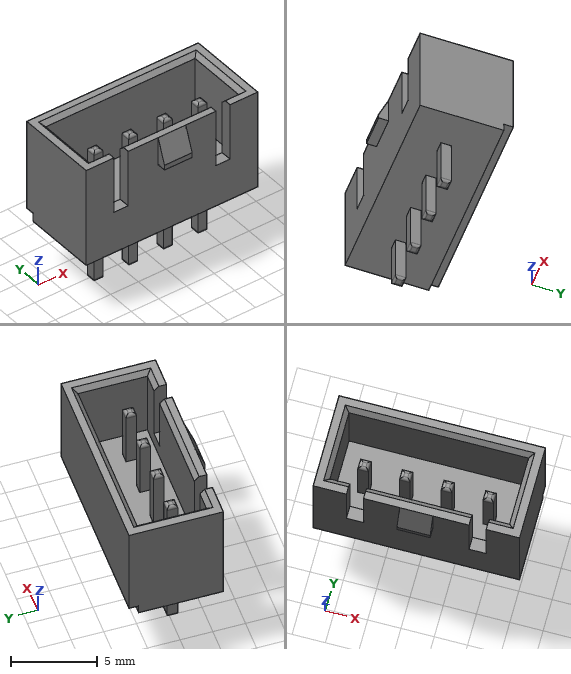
import cadquery as cq

length = 12.4
depth = 5.78
height = 6.98

end_wall = 0.8
side_wall = 0.77
floor_thickness = 2.0
rim_chamfer = 0.3

step_size = 0.6

slot_width = 1.03
slot_depth = 4.0
slot_offset = 3.68

latch_width = 2.0
latch_height = 2.0
latch_lip = 0.35
latch_reach = 0.62

pin_count = 4
pin_pitch = 2.5
pin_width = 0.65
pin_y = 2.4
pin_tail = 3.52
pin_recess = 0.99
top_tip_radius = 0.2
tail_tip_radius = 0.16


def block(x_size, y_size, z_size, x_center, y_min, z_min):
    """Box centred on x_center that grows towards +Y and +Z from its minimum corner."""
    return cq.Workplane("XY").box(x_size, y_size, z_size, centered=(True, False, False)).translate(
        (x_center, y_min, z_min)
    )


def make_housing():
    """Stepped box with a chamfered rectangular cavity and two slots in the front wall."""
    body = block(length, depth, height, 0, 0, 0)
    body = body.cut(block(length, step_size, step_size, 0, depth - step_size, 0))

    cavity_length = length - 2 * end_wall
    cavity_width = depth - 2 * side_wall
    cavity_depth = height - floor_thickness
    body = body.cut(block(cavity_length, cavity_width, cavity_depth, 0, side_wall, floor_thickness))

    rim = (
        cq.Workplane("XY", origin=(0, depth / 2, height - rim_chamfer))
        .rect(cavity_length, cavity_width)
        .workplane(offset=rim_chamfer)
        .rect(cavity_length + 2 * rim_chamfer, cavity_width + 2 * rim_chamfer)
        .loft(ruled=True)
    )
    body = body.cut(rim)

    for x in (-slot_offset, slot_offset):
        body = body.cut(block(slot_width, side_wall, slot_depth, x, 0, height - slot_depth))
    return body


def make_latch():
    """Wedge that starts flush at the rim and slopes outwards to a short vertical lip."""
    latch_bottom = height - latch_height
    profile = [
        (0, height),
        (-latch_reach, latch_bottom + latch_lip),
        (-latch_reach, latch_bottom),
        (0, latch_bottom),
    ]
    return cq.Workplane("YZ").polyline(profile).close().extrude(latch_width / 2, both=True)


def make_pin(x):
    """Square pin with rounded edges at both ends."""
    pin_length = pin_tail + height - pin_recess
    pin = block(pin_width, pin_width, pin_length, x, pin_y - pin_width / 2, -pin_tail)
    return pin.faces(">Z").edges().fillet(top_tip_radius).faces("<Z").edges().fillet(tail_tip_radius)


result = make_housing().union(make_latch())
for index in range(pin_count):
    pin_x = (index - (pin_count - 1) / 2) * pin_pitch
    result = result.union(make_pin(pin_x))